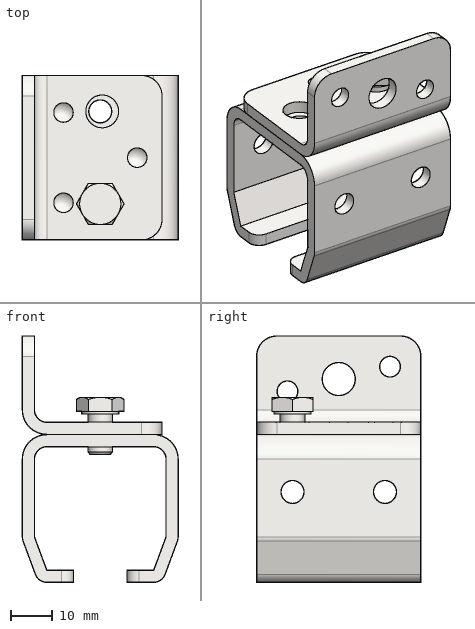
import cadquery as cq
import math

length = 40.0
width = 38.0
thickness = 3.0
bend_inner = 3.0
bend_outer = bend_inner + thickness
half_width = width / 2
THROUGH = 2 * length

channel_height = 36.0
lip_reach = 12.55
lip_corner_radius = 3.0
taper_start_z = 11.1
taper_run = 3.0
selection_margin = 0.6
side_hole_diameter = 5.5
side_hole_z = 22.0
bolt_spacing = 22.5
free_hole_diameter = 5.5

total_height = 60.0
bracket_reach = 34.0
corner_radius = 5.0
large_hole_diameter = 8.0
large_hole_z = 49.5
flange_hole_diameter = 5.0
flange_hole_y = 12.5
flange_hole_step = 3.0
plate_hole_shift = 0.5
dimple_diameter = 4.75
dimple_depth = 1.0
dimple_near_x = -8.95
dimple_far_x = 9.0
dimple_y = 11.0

shank_diameter = 6.0
collar_diameter = 9.1
head_across_flats = 10.0
bolt_tip_z = 31.1
collar_bottom_z = 41.0
head_bottom_z = 41.65
head_top_z = 45.05
tip_chamfer_width = 0.55
tip_chamfer_height = 0.7
head_chamfer_height = 0.55

bolt_y = -bolt_spacing / 2
plate_top_z = channel_height + thickness


def extrude_along_y(profile):
    return profile.extrude(length / 2, both=True)


def drill_x(body, diameter, y, z):
    cutter = cq.Workplane("YZ").center(y, z).circle(diameter / 2).extrude(THROUGH / 2, both=True)
    return body.cut(cutter)


def drill_z(body, diameter, x, y):
    cutter = cq.Workplane("XY").center(x, y).circle(diameter / 2).extrude(THROUGH)
    return body.cut(cutter)


def half_channel_profile():
    """Closed outline of the -X half; both lower bends have a sharp inside corner."""
    inner_x = -half_width + thickness
    foot_x = inner_x + taper_run
    tip_x = -half_width + lip_reach
    lean = math.atan2(taper_run, taper_start_z - thickness)

    def on_bend(center_x, center_z, angle):
        return (center_x - thickness * math.cos(angle), center_z - thickness * math.sin(angle))

    bend_x = -half_width + bend_outer
    bend_z = channel_height - bend_outer
    diagonal = math.sqrt(0.5)
    return (
        cq.Workplane("XZ")
        .moveTo(0, channel_height)
        .lineTo(bend_x, channel_height)
        .threePointArc((bend_x - bend_outer * diagonal, bend_z + bend_outer * diagonal), (-half_width, bend_z))
        .lineTo(-half_width, taper_start_z)
        .threePointArc(on_bend(inner_x, taper_start_z, lean / 2), on_bend(inner_x, taper_start_z, lean))
        .lineTo(*on_bend(foot_x, thickness, lean))
        .threePointArc(on_bend(foot_x, thickness, (lean + math.pi / 2) / 2), (foot_x, 0))
        .lineTo(tip_x, 0)
        .lineTo(tip_x, thickness)
        .lineTo(foot_x, thickness)
        .lineTo(inner_x, taper_start_z)
        .lineTo(inner_x, bend_z)
        .threePointArc(
            (bend_x - bend_inner * diagonal, bend_z + bend_inner * diagonal),
            (bend_x, channel_height - thickness),
        )
        .lineTo(0, channel_height - thickness)
        .close()
    )


def make_channel():
    half = extrude_along_y(half_channel_profile())
    half = half.edges("|Z").edges(cq.selectors.BoxSelector(
        (-half_width + lip_reach - selection_margin, -length, -selection_margin),
        (-half_width + lip_reach + selection_margin, length, thickness + selection_margin),
    )).fillet(lip_corner_radius)
    body = half.union(half.mirror("YZ")).clean()
    for y in (bolt_y, -bolt_y):
        body = drill_x(body, side_hole_diameter, y, side_hole_z)
    body = drill_z(body, shank_diameter, 0, bolt_y)
    return drill_z(body, free_hole_diameter, 0, -bolt_y)


def make_bracket():
    end_x = -half_width + bracket_reach
    flange_x = -half_width + thickness
    body = extrude_along_y(
        cq.Workplane("XZ")
        .moveTo(-half_width, total_height)
        .lineTo(-half_width, channel_height)
        .lineTo(end_x, channel_height)
        .lineTo(end_x, plate_top_z)
        .lineTo(flange_x, plate_top_z)
        .lineTo(flange_x, total_height)
        .close()
    )

    body = body.edges("|Y and <X and <Z").fillet(bend_outer)
    body = body.edges(cq.selectors.NearestToPointSelector((flange_x, 0, plate_top_z))).fillet(bend_inner)

    body = body.faces(">Z").edges("|X").fillet(corner_radius)
    body = body.faces(">X").edges("|Z").fillet(corner_radius)

    body = drill_x(body, large_hole_diameter, 0, large_hole_z)
    for side in (-1, 1):
        body = drill_x(
            body, flange_hole_diameter, side * flange_hole_y, large_hole_z + side * flange_hole_step
        )

    for y in (bolt_y, -bolt_y):
        body = drill_z(body, large_hole_diameter, plate_hole_shift, y)

    sphere_radius = ((dimple_diameter / 2) ** 2 + dimple_depth**2) / (2 * dimple_depth)
    sphere_z = plate_top_z - dimple_depth + sphere_radius
    for x, y in ((dimple_near_x, -dimple_y), (dimple_near_x, dimple_y), (dimple_far_x, 0)):
        body = body.cut(cq.Workplane("XY").sphere(sphere_radius).translate((x, y, sphere_z)))
    return body


def make_bolt():
    shank_radius = shank_diameter / 2
    flat_radius = head_across_flats / 2
    head_corner_radius = flat_radius / math.cos(math.pi / 6)

    shank = (
        cq.Workplane("XZ")
        .moveTo(0, bolt_tip_z)
        .lineTo(shank_radius - tip_chamfer_width, bolt_tip_z)
        .lineTo(shank_radius, bolt_tip_z + tip_chamfer_height)
        .lineTo(shank_radius, collar_bottom_z)
        .lineTo(collar_diameter / 2, collar_bottom_z)
        .lineTo(collar_diameter / 2, head_bottom_z)
        .lineTo(0, head_bottom_z)
        .close()
        .revolve(360, (0, 0), (0, 1))
    )

    head = (
        cq.Workplane("XY", origin=(0, 0, head_bottom_z))
        .polygon(6, 2 * head_corner_radius)
        .extrude(head_top_z - head_bottom_z)
    )
    turned_blank = (
        cq.Workplane("XZ")
        .moveTo(0, head_bottom_z)
        .lineTo(head_corner_radius, head_bottom_z)
        .lineTo(head_corner_radius, head_top_z - head_chamfer_height)
        .lineTo(flat_radius, head_top_z)
        .lineTo(0, head_top_z)
        .close()
        .revolve(360, (0, 0), (0, 1))
    )
    return shank.union(head.intersect(turned_blank)).translate((0, bolt_y, 0))


channel = make_channel()
bracket = make_bracket()
bolt = make_bolt()

result = cq.Compound.makeCompound([
    channel.solids().val(),
    bracket.solids().val(),
    bolt.solids().val(),
])